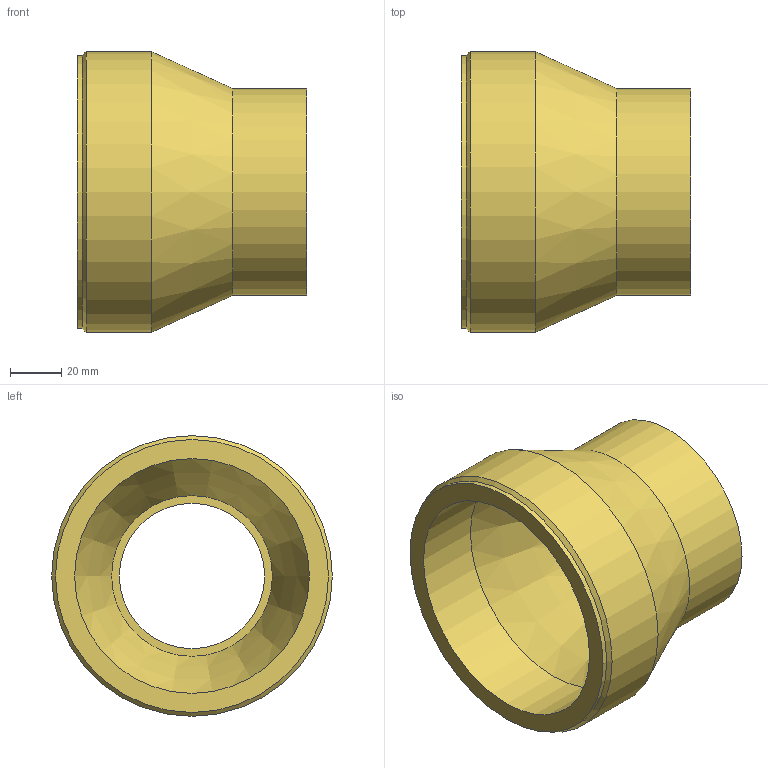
import cadquery as cq

large_diameter = 110.0
small_diameter = 81.0

total_length = 90.0
large_end_length = 29.0
outer_taper_length = 32.0

lip_width = 2.0
lip_step = 1.5

wide_bore_diameter = 92.0
wide_bore_depth = 26.0
taper_end_diameter = 63.0
inner_taper_length = 34.0
through_bore_diameter = 57.0


def revolve_about_x(points):
    """Revolve a closed (x, radius) outline fully around the X axis."""
    profile = cq.Workplane("XY").polyline(points).close()
    return profile.revolve(axisStart=(0, 0, 0), axisEnd=(1, 0, 0))


def make_outer_body():
    large_radius = large_diameter / 2
    small_radius = small_diameter / 2
    lip_radius = large_radius - lip_step
    outer_taper_end = large_end_length + outer_taper_length
    return revolve_about_x([
        (0, 0),
        (0, lip_radius),
        (lip_width, lip_radius),
        (lip_width + lip_step, large_radius),
        (large_end_length, large_radius),
        (outer_taper_end, small_radius),
        (total_length, small_radius),
        (total_length, 0),
    ])


def make_passage():
    wide_radius = wide_bore_diameter / 2
    taper_end_radius = taper_end_diameter / 2
    through_radius = through_bore_diameter / 2
    inner_taper_end = wide_bore_depth + inner_taper_length
    return revolve_about_x([
        (0, 0),
        (0, wide_radius),
        (wide_bore_depth, wide_radius),
        (inner_taper_end, taper_end_radius),
        (inner_taper_end, through_radius),
        (total_length, through_radius),
        (total_length, 0),
    ])


result = make_outer_body().cut(make_passage())